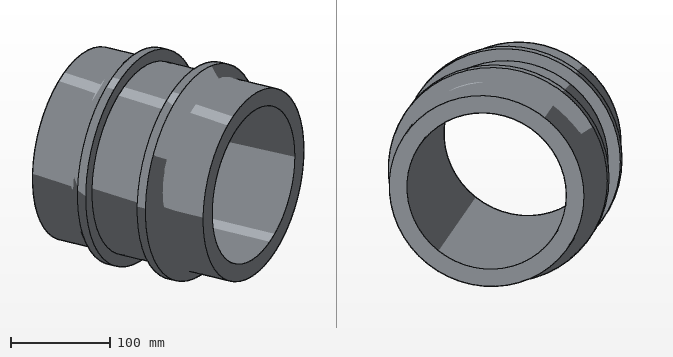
import cadquery as cq
import math

pipe_length = 200.0
pipe_radius = 200.0 / 2
bore_radius = 163.5 / 2

collar_radius = 225 / 2
collar_inner_face = 30.2
rim_width = 9.7
flank_angle = math.radians(45)
root_fillet_radius = 5.5


def make_cylinder(radius):
    """Cylinder along X over the full pipe length."""
    return (
        cq.Workplane("YZ", origin=(-pipe_length / 2, 0, 0))
        .circle(radius)
        .extrude(pipe_length)
    )


def make_collar():
    """Collar on the +X side, revolved about the pipe axis."""
    rim_end = collar_inner_face + rim_width
    fillet_height = root_fillet_radius * (1 - math.cos(flank_angle))
    flank_end_radius = pipe_radius + fillet_height
    flank_end = rim_end + (collar_radius - flank_end_radius) / math.tan(flank_angle)
    fillet_end = flank_end + root_fillet_radius * math.sin(flank_angle)
    half_angle = flank_angle / 2
    fillet_middle = (
        fillet_end - root_fillet_radius * math.sin(half_angle),
        pipe_radius + root_fillet_radius * (1 - math.cos(half_angle)),
    )
    return (
        cq.Workplane("XY")
        .moveTo(collar_inner_face, bore_radius)
        .lineTo(collar_inner_face, collar_radius)
        .lineTo(rim_end, collar_radius)
        .lineTo(flank_end, flank_end_radius)
        .threePointArc(fillet_middle, (fillet_end, pipe_radius))
        .lineTo(fillet_end, bore_radius)
        .close()
        .revolve(360, (0, 0, 0), (1, 0, 0))
    )


collar = make_collar()
bore = make_cylinder(bore_radius)
result = make_cylinder(pipe_radius).union(collar).union(collar.mirror("YZ")).cut(bore)